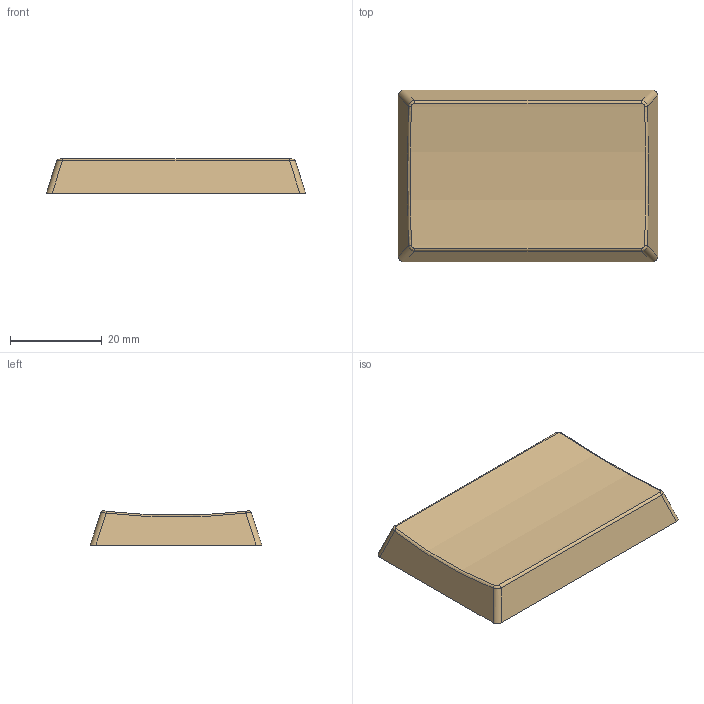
import cadquery as cq
import math

LENGTH = 56.4
WIDTH = 37.35
RIM_HEIGHT = 7.5
WALL_DRAFT = 18.0
CORNER_RADIUS = 1.3
RIM_RADIUS = 0.6
DISH_DEPTH = 1.05
TRIM_ALLOWANCE = 2.0

rim_half_width = WIDTH / 2 - RIM_HEIGHT * math.tan(math.radians(WALL_DRAFT))
dish_radius = (rim_half_width**2 + DISH_DEPTH**2) / (2 * DISH_DEPTH)
dish_axis_height = RIM_HEIGHT - DISH_DEPTH + dish_radius


def drafted_blank():
    """Rectangular block with leaning walls and rounded corner edges."""
    blank_height = RIM_HEIGHT + TRIM_ALLOWANCE
    block = cq.Workplane("XY").rect(LENGTH, WIDTH).extrude(blank_height, taper=WALL_DRAFT)
    return block.edges("not(|X or |Y)").fillet(CORNER_RADIUS)


def dish_cutter():
    """Long cylinder along X that hollows the top across the width."""
    return (
        cq.Workplane("YZ", origin=(-LENGTH / 2, 0, 0))
        .center(0, dish_axis_height)
        .circle(dish_radius)
        .extrude(LENGTH)
    )


def round_rim(body):
    """Round every edge of the dished face, the largest cylindrical face."""
    dish_face = body.faces("%CYLINDER").faces(cq.selectors.AreaNthSelector(-1))
    return dish_face.edges().fillet(RIM_RADIUS)


result = round_rim(drafted_blank().cut(dish_cutter()))